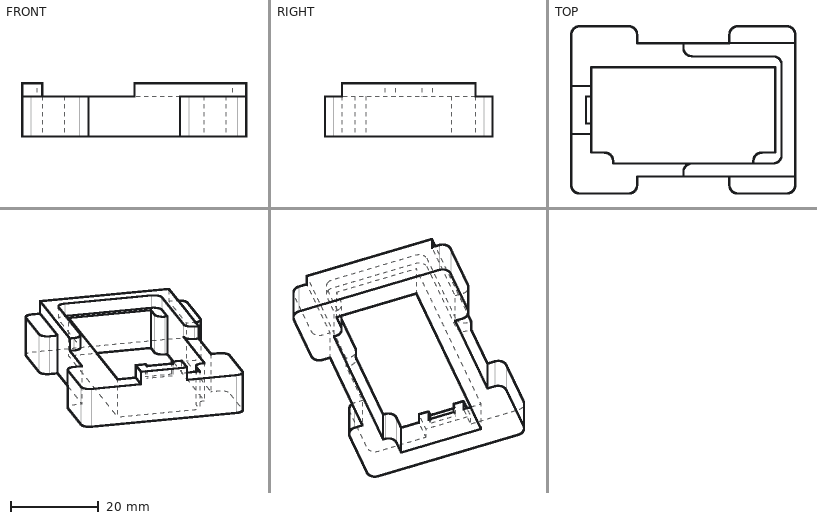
import cadquery as cq

length = 51.0
foot_span = 38.1
body_width = 30.4
base_height = 9.2
total_height = 12.2
corner_radius = 2.0

foot_length = 15.05

end_wall = 4.6
window_length = length - 2 * end_wall
window_half_width = 9.7
post_length = 5.0

rim_start = 25.5
rim_end_wall = 3.1
rim_side_wall = 3.0
recess_half_width = body_width / 2 - rim_side_wall

tab_width = 10.85
notch_depth = 1.15
notch_width = 6.1


def box(x_min, x_max, y_min, y_max, z_min, z_max):
    """Box between the given limits."""
    return cq.Workplane("XY").box(
        x_max - x_min, y_max - y_min, z_max - z_min, centered=False
    ).translate((x_min, y_min, z_min))


def make_base():
    """Frame plate with a rounded foot block at each end."""
    half_body = body_width / 2
    half_span = foot_span / 2
    base = box(0, length, -half_body, half_body, 0, base_height)
    for x_min in (0, length - foot_length):
        feet = box(x_min, x_min + foot_length, -half_span, half_span, 0, base_height)
        base = base.union(feet.edges("|Z").fillet(corner_radius))
    return base


def make_rim():
    """U-shaped rim, open to the left, with rounded inner corners and ends."""
    half_body = body_width / 2
    recess_end = length - rim_end_wall
    rim = box(rim_start, length, -half_body, half_body, base_height, total_height)
    recess = box(
        rim_start, recess_end, -recess_half_width, recess_half_width,
        base_height, total_height,
    )
    margin = 0.5
    inner_corners = cq.selectors.BoxSelector(
        (rim_start - margin, -recess_half_width - margin, base_height - margin),
        (recess_end + margin, recess_half_width + margin, total_height + margin),
    )
    return rim.cut(recess).edges("|Z").edges(inner_corners).fillet(corner_radius)


def make_tab():
    """Raised tab with a shallow notch facing the window."""
    tab = box(0, end_wall, -tab_width / 2, tab_width / 2, base_height, total_height)
    notch = box(
        end_wall - notch_depth, end_wall, -notch_width / 2, notch_width / 2,
        base_height, total_height,
    )
    return tab.cut(notch)


def make_window():
    """Through opening, narrowed by a rounded post in each front corner."""
    window_end = end_wall + window_length
    window = box(
        end_wall, window_end, -window_half_width, window_half_width, 0, base_height
    )
    widening = box(
        end_wall, window_end, -recess_half_width, -window_half_width, 0, base_height
    )
    for x_min, rounded_side in ((end_wall, ">X"), (window_end - post_length, "<X")):
        post = box(
            x_min, x_min + post_length, -recess_half_width, -window_half_width,
            0, base_height,
        )
        post = post.edges(f"|Z and {rounded_side} and >Y").fillet(corner_radius)
        widening = widening.cut(post)
    return window.union(widening)


result = make_base().cut(make_window()).union(make_rim()).union(make_tab())